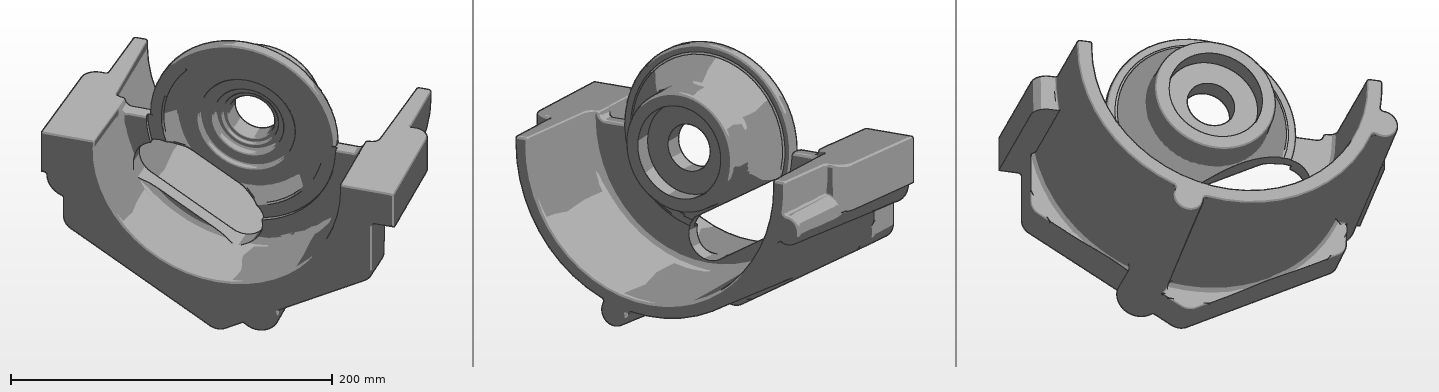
import cadquery as cq
import math

LENGTH = 126.88
HALF_WIDTH = 116.09
TOP_Z = 5.0
DRAFT = 2.0
DRAFT_SLOPE = math.tan(math.radians(DRAFT))
EDGE_ROUND = 2.0
SMALL_ROUND = 1.5
CORNER_ROUND = 10.0
TOLERANCE = 0.01
MOUTH_OVERRUN = 5.0

SHELL_REAR_R = 98.0
FRONT_FLOOR_Y = 46.0
REAR_FLOOR_Y = 56.0
FRONT_FLOOR_R = 79.1
REAR_FLOOR_R = 86.0
FLOOR_FILLET = 5.0

PLATE_T = 25.3
PLATE_HALF_W = 101.6
V_ANGLE = 30.0
ROOT_FILLET = 5.0
V_APEX_Z = -118.52
PLATE_TOP_Z = -20.0

FLANGE_LENGTH = 80.5
LEFT_FLANGE_Z = -25.0
RIGHT_FLANGE_Z = -20.0

BOSS_CIRCLE_R = 102.0
BOSS_ANGLES = (-75.0, -165.0)
BOSS_FRONT_R = 14.0
BLEND_FILLET = 2.0

DISC_R = 61.0
DISC_FRONT_Y = 49.0
DISC_REAR_Y = 56.7
DISC_CLEARANCE = 1.2
CONE_FRONT_R = 55.0
NECK_FILLET = 4.0
NECK_R = 39.7
HUB_REAR_R = 38.7
HUB_REAR_Y = 91.5
NECK_Y = DISC_REAR_Y + CONE_FRONT_R - NECK_R

POCKET_RIM_R = 52.5
POCKET_FLOOR_R = 44.5
POCKET_FLOOR_Y = DISC_FRONT_Y + POCKET_RIM_R - POCKET_FLOOR_R
POCKET_FILLET = 4.0
SEAT_R = 31.5
SEAT_FLOOR_Y = 60.0
SHOULDER_R = 23.0
SHOULDER_FLOOR_Y = 64.0
SHOULDER_FILLET = 2.5
LEAD_R = 18.3
LEAD_FLOOR_Y = 66.0
LEAD_ROUND = 0.8
STEP_ROUND = 1.4
BORE_R = 15.2
RECESS_R = 30.0
RECESS_FLOOR_Y = 79.6

SLOT_OFFSET = 56.0
SLOT_SPAN = 62.0
SLOT_R = 15.3
SLOT_TILT = -V_ANGLE
SLOT_EDGE_ROUND = 1.0
SLOT_FRONT_Y = FRONT_FLOOR_Y - 2 * FLOOR_FILLET
SLOT_CUT_DEPTH = 50.0


def facing_front(y):
    """Plane at the given y whose normal points to -Y."""
    return cq.Workplane(cq.Plane((0, y, 0), (1, 0, 0), (0, -1, 0)))


def facing_rear(y):
    """Plane at the given y whose normal points to +Y."""
    return cq.Workplane(cq.Plane((0, y, 0), (-1, 0, 0), (0, 1, 0)))


def rounded_outline(plane, corners):
    """Closed outline through (u, v, rounding radius) corners; a zero radius keeps a corner sharp."""
    outline = None
    for index, (u, v, radius) in enumerate(corners):
        corner = cq.Vector(u, v)
        before = cq.Vector(*corners[index - 1][:2])
        after = cq.Vector(*corners[(index + 1) % len(corners)][:2])
        to_before = (before - corner).normalized()
        to_after = (after - corner).normalized()
        half_angle = to_before.getAngle(to_after) / 2
        tangent_length = radius / math.tan(half_angle)
        start = (corner + to_before * tangent_length).toTuple()[:2]
        outline = outline.lineTo(*start) if outline else plane.moveTo(*start)
        if radius > 0:
            to_centre = (to_before + to_after).normalized()
            middle = corner + to_centre * (radius / math.sin(half_angle) - radius)
            end = (corner + to_after * tangent_length).toTuple()[:2]
            outline = outline.threePointArc(middle.toTuple()[:2], end)
    return outline.close()


def revolved(corners):
    """Solid of revolution about Y from (radius, y, rounding radius) corners."""
    return rounded_outline(cq.Workplane("XY"), corners).revolve(360, (0, 0, 0), (0, 1, 0))


def u_solid(half_profile, height):
    """Revolve a closed (x, y) half profile about Y and carry it straight up to the given height."""
    right_side = half_profile.extrude(height)
    left_side = right_side.mirror("YZ")
    lower_part = half_profile.toPending().revolve(360, (0, 0, 0), (0, 1, 0))
    return lower_part.union(right_side).union(left_side)


def shell_radius(y):
    """Outer radius of the drafted shell at the given y."""
    return SHELL_REAR_R + (LENGTH - y) * DRAFT_SLOPE


def trim_top(solid):
    """Remove everything above the flat top face."""
    above = cq.Workplane("XY", origin=(0, LENGTH / 2, TOP_Z)).box(
        4 * HALF_WIDTH, 2 * LENGTH, 2 * HALF_WIDTH, centered=(True, True, False)
    )
    return solid.cut(above)


def edges_where(solid, matches):
    """Select the edges whose bounding box satisfies the given test."""
    return solid.edges().filter(lambda edge: matches(edge.BoundingBox()))


def make_shell():
    """Drafted U-shaped shell with the bolt bosses blended into its outside."""
    profile = rounded_outline(cq.Workplane("XY"), [
        (0, 0, 0),
        (shell_radius(0), 0, 0),
        (shell_radius(LENGTH), LENGTH, 0),
        (0, LENGTH, 0),
    ])
    shell = trim_top(u_solid(profile, TOP_Z))
    for angle in BOSS_ANGLES:
        shell = shell.union(make_boss(angle))
    seams = edges_where(shell, lambda box: box.ylen > LENGTH / 2 and box.zmax < -TOP_Z)
    return seams.fillet(BLEND_FILLET).faces(">Y").edges("not >Z").fillet(EDGE_ROUND)


def make_plate(thickness):
    corner_z = V_APEX_Z + PLATE_HALF_W * math.tan(math.radians(V_ANGLE))
    outline = rounded_outline(facing_front(0), [
        (-PLATE_HALF_W, PLATE_TOP_Z, 0),
        (-PLATE_HALF_W, corner_z, CORNER_ROUND),
        (0, V_APEX_Z, CORNER_ROUND),
        (PLATE_HALF_W, corner_z, CORNER_ROUND),
        (PLATE_HALF_W, PLATE_TOP_Z, 0),
    ])
    plate = outline.extrude(-thickness)
    return plate.faces(">Y").edges("not >Z").fillet(SMALL_ROUND)


def make_plate_root():
    """Fillet between the rear of the V plate and the shell, kept within the plate outline."""
    inner_r = SHELL_REAR_R - ROOT_FILLET
    ring_front_y = PLATE_T - ROOT_FILLET
    ring_rear_y = PLATE_T + 2 * ROOT_FILLET
    outer_r = shell_radius(PLATE_T) + 2 * ROOT_FILLET
    ring = revolved([
        (inner_r, ring_front_y, 0),
        (outer_r, ring_front_y, 0),
        (outer_r, PLATE_T, 0),
        (shell_radius(PLATE_T), PLATE_T, ROOT_FILLET),
        (shell_radius(ring_rear_y), ring_rear_y, 0),
        (inner_r, ring_rear_y, 0),
    ])
    return ring.intersect(make_plate(ring_rear_y))


def make_flange(side, bottom_z):
    """Flange block; side is -1 for left and +1 for right."""
    root_x = SHELL_REAR_R - 2 * EDGE_ROUND
    front_half_width = HALF_WIDTH + EDGE_ROUND * DRAFT_SLOPE
    rear_half_width = front_half_width - FLANGE_LENGTH * DRAFT_SLOPE
    block = (
        cq.Workplane("XY", origin=(0, 0, bottom_z))
        .polyline([
            (side * root_x, 0),
            (side * front_half_width, 0),
            (side * rear_half_width, FLANGE_LENGTH),
            (side * root_x, FLANGE_LENGTH),
        ])
        .close()
        .extrude(TOP_Z - bottom_z)
    )
    outer = ">X" if side > 0 else "<X"
    return block.faces(outer).edges("|Z and >Y").fillet(CORNER_ROUND)


def make_boss(angle):
    x = BOSS_CIRCLE_R * math.cos(math.radians(angle))
    z = BOSS_CIRCLE_R * math.sin(math.radians(angle))
    return facing_rear(0).center(-x, z).circle(BOSS_FRONT_R).extrude(LENGTH, taper=DRAFT)


def make_cavity(floor_y, floor_r, mouth_y):
    """Drafted U-shaped cutter with a filleted floor and a rounded mouth, open upwards."""
    outward = math.copysign(1, mouth_y - floor_y)
    mouth_r = floor_r + abs(mouth_y - floor_y) * DRAFT_SLOPE
    overrun_y = mouth_y + outward * MOUTH_OVERRUN
    profile = rounded_outline(cq.Workplane("XY"), [
        (0, floor_y, 0),
        (floor_r, floor_y, FLOOR_FILLET),
        (mouth_r, mouth_y, EDGE_ROUND),
        (mouth_r + 2 * EDGE_ROUND, mouth_y, 0),
        (mouth_r + 2 * EDGE_ROUND, overrun_y, 0),
        (0, overrun_y, 0),
    ])
    return u_solid(profile, HALF_WIDTH)


def make_hub():
    return revolved([
        (0, DISC_FRONT_Y, 0),
        (DISC_R, DISC_FRONT_Y, EDGE_ROUND),
        (DISC_R, DISC_REAR_Y, EDGE_ROUND),
        (CONE_FRONT_R, DISC_REAR_Y, EDGE_ROUND),
        (NECK_R, NECK_Y, NECK_FILLET),
        (HUB_REAR_R, HUB_REAR_Y, EDGE_ROUND),
        (0, HUB_REAR_Y, 0),
    ])


def make_hub_bore():
    front_overrun_y = DISC_FRONT_Y - MOUTH_OVERRUN
    rear_overrun_y = HUB_REAR_Y + MOUTH_OVERRUN
    return revolved([
        (0, front_overrun_y, 0),
        (POCKET_RIM_R + MOUTH_OVERRUN, front_overrun_y, 0),
        (POCKET_RIM_R + MOUTH_OVERRUN, DISC_FRONT_Y, 0),
        (POCKET_RIM_R, DISC_FRONT_Y, EDGE_ROUND),
        (POCKET_FLOOR_R, POCKET_FLOOR_Y, POCKET_FILLET),
        (SEAT_R, POCKET_FLOOR_Y, STEP_ROUND),
        (SEAT_R, SEAT_FLOOR_Y, STEP_ROUND),
        (SHOULDER_R, SEAT_FLOOR_Y, STEP_ROUND),
        (SHOULDER_R, SHOULDER_FLOOR_Y, SHOULDER_FILLET),
        (LEAD_R, SHOULDER_FLOOR_Y, LEAD_ROUND),
        (LEAD_R, LEAD_FLOOR_Y, LEAD_ROUND),
        (BORE_R, LEAD_FLOOR_Y, LEAD_ROUND),
        (BORE_R, RECESS_FLOOR_Y, 0),
        (RECESS_R, RECESS_FLOOR_Y, 0),
        (RECESS_R, rear_overrun_y, 0),
        (0, rear_overrun_y, 0),
    ])


def make_slot():
    return (
        facing_front(SLOT_FRONT_Y)
        .transformed(rotate=(0, 0, SLOT_TILT))
        .center(0, -SLOT_OFFSET)
        .slot2D(SLOT_SPAN + 2 * SLOT_R, 2 * SLOT_R)
        .extrude(-SLOT_CUT_DEPTH)
    )


def make_outside():
    """Shell, plate and flanges joined, with their notches and outer edges rounded."""
    body = make_shell().union(make_plate(PLATE_T))
    body = body.union(make_flange(-1, LEFT_FLANGE_Z)).union(make_flange(1, RIGHT_FLANGE_Z))
    boss_notches = edges_where(
        body.edges("%HYPERBOLA"),
        lambda box: box.ymin < TOLERANCE,
    )
    body = boss_notches.fillet(SMALL_ROUND)
    flange_notch = edges_where(
        body.edges("%LINE and |Y"),
        lambda box: box.xmin > PLATE_HALF_W - TOLERANCE and abs(box.zmax - RIGHT_FLANGE_Z) < TOLERANCE,
    )
    body = flange_notch.fillet(EDGE_ROUND)
    flange_roots = edges_where(
        body,
        lambda box: abs(box.center.y - FLANGE_LENGTH) < TOLERANCE
        and box.ylen < TOLERANCE
        and abs(box.center.x) < shell_radius(FLANGE_LENGTH) + TOLERANCE,
    )
    body = flange_roots.fillet(SMALL_ROUND).union(make_plate_root())
    front_and_top = edges_where(
        body,
        lambda box: box.ymax < TOLERANCE or box.zmin > TOP_Z - TOLERANCE,
    )
    return front_and_top.fillet(EDGE_ROUND)


def make_web_gap():
    """Cutter that lowers the web between the cavities to the height of the axis."""
    depth = REAR_FLOOR_Y - FRONT_FLOOR_Y + 4 * FLOOR_FILLET
    gap = cq.Workplane("XY", origin=(0, (REAR_FLOOR_Y + FRONT_FLOOR_Y) / 2, 0)).box(
        2 * FRONT_FLOOR_R, depth, HALF_WIDTH, centered=(True, True, False)
    )
    return gap.edges("|Y and <Z").fillet(FLOOR_FILLET)


def make_disc_clearance():
    """Recess in front of the hub disc."""
    return facing_front(DISC_FRONT_Y).circle(DISC_R + DISC_CLEARANCE).extrude(DISC_FRONT_Y)


body = make_outside()
body = body.cut(make_cavity(FRONT_FLOOR_Y, FRONT_FLOOR_R, 0))
body = body.cut(make_cavity(REAR_FLOOR_Y, REAR_FLOOR_R, LENGTH))
body = body.cut(make_web_gap())
web_top_edges = edges_where(
    body,
    lambda box: abs(box.zmin) < TOLERANCE and box.zlen < TOLERANCE and box.xlen > DISC_R,
)
body = web_top_edges.fillet(EDGE_ROUND)
inner_top_edges = edges_where(
    body,
    lambda box: box.zmin > TOP_Z - TOLERANCE
    and box.ylen > FLOOR_FILLET
    and abs(box.center.x) < shell_radius(LENGTH) - EDGE_ROUND,
)
body = inner_top_edges.fillet(SMALL_ROUND)
body = body.cut(make_disc_clearance()).union(make_hub())
body = body.cut(make_hub_bore()).cut(make_slot())

slot_floor_edge = edges_where(
    body.edges("%LINE"),
    lambda box: abs(box.center.y - POCKET_FLOOR_Y) < TOLERANCE and box.ylen < TOLERANCE,
)
result = slot_floor_edge.fillet(SLOT_EDGE_ROUND)